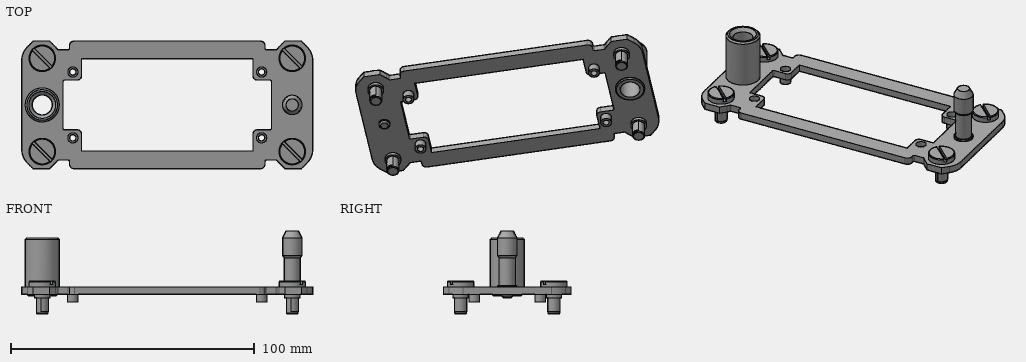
import cadquery as cq
import math

length = 119.5
width = 52.5
plate_thickness = 3.0
corner_chamfer = 4.8
ear_flat_end = 48.3
notch_depth = 3.6
tab_end = 40.2
tab_radius = 2.0
root_radius = 0.5

window_half_length = 42.7
window_half_width = 18.9
lug_end = 35.1
lug_inner_edge = 10.2
lug_radius = 1.8

bushing_x = 38.7
bushing_y = 13.5
bushing_diameter = 4.4
bushing_depth = 3.2
bushing_bore = 4.2
bushing_bore_depth = 2.4
bushing_hole = 2.5

fitting_x = 51.3
screw_y = 19.1
head_diameter = 10.9
head_height = 2.5
head_chamfer = 0.4
slot_width = 1.2
slot_depth = 1.4
collar_diameter = 6.5
collar_length = 1.4
shank_diameter = 4.9
screw_depth = 8.1
shank_chamfer = 0.4
patch_thickness = 0.1
patch_bottom = 7.0
patch_angle = 200

sleeve_diameter = 14.0
sleeve_top = 23.2
sleeve_chamfer = 0.7
sleeve_bore = 8.1
sleeve_countersink = 11.0
sleeve_tail_diameter = 12.1
sleeve_tail_length = 0.7
sleeve_tail_chamfer = 0.5

pin_top = 26.0
pin_diameter = 8.0
pin_tip_diameter = 5.0
pin_tip_base = 23.2
pin_head_bottom = 15.9
pin_neck_top = 14.9
pin_neck_diameter = 6.6
pin_foot_height = 0.7
pin_foot_chamfer = 0.4
pin_tail_diameter = 4.5
pin_tail_length = 1.4
pin_tail_chamfer = 0.7

half_length = length / 2
half_width = width / 2


def all_quadrants(x, y):
    return [(sx * x, sy * y) for sx in (-1, 1) for sy in (-1, 1)]


def turned(profile, x, y):
    """Revolve a closed (radius, z) profile about a vertical axis through (x, y)."""
    return cq.Workplane("XZ").polyline(profile).close().revolve(360, (0, 0), (0, 1)).translate((x, y, 0))


def round_upright_edge(solid, x, y, radius):
    """Fillet the vertical edge nearest to (x, y) in a solid as thick as the plate."""
    nearest = cq.NearestToPointSelector((x, y, plate_thickness / 2))
    return solid.edges("|Z").edges(nearest).fillet(radius)


def make_plate():
    plate = cq.Workplane("XY").rect(length, width).extrude(plate_thickness)

    ear_flat_start = half_length - corner_chamfer
    ear_x = (ear_flat_start + ear_flat_end) / 2
    flat_half = (ear_flat_start - ear_flat_end) / 2
    ear_radius = half_length - ear_x
    ear_y = half_width + flat_half - ear_radius * math.sqrt(2)
    diagonal = ear_radius * math.sqrt(0.5)
    floor_y = half_width - notch_depth
    foot_x = ear_x - math.sqrt(ear_radius**2 - (floor_y - ear_y) ** 2)

    corner = (
        cq.Workplane("XY")
        .moveTo(half_length, ear_y)
        .radiusArc((ear_x + diagonal, ear_y + diagonal), -ear_radius)
        .lineTo(ear_flat_start, half_width)
        .lineTo(half_length, half_width)
        .close()
        .extrude(plate_thickness)
    )
    notch = (
        cq.Workplane("XY")
        .moveTo(ear_flat_end, half_width)
        .lineTo(ear_x - diagonal, ear_y + diagonal)
        .radiusArc((foot_x, floor_y), -ear_radius)
        .lineTo(tab_end, floor_y)
        .lineTo(tab_end, half_width - tab_radius)
        .radiusArc((tab_end - tab_radius, half_width), -tab_radius)
        .close()
        .extrude(plate_thickness)
    )
    for x in (foot_x, tab_end):
        notch = round_upright_edge(notch, x, floor_y, root_radius)
    cuts = corner.union(notch)
    cuts = cuts.union(cuts.mirror("YZ"))
    cuts = cuts.union(cuts.mirror("XZ"))

    wide = cq.Workplane("XY").rect(2 * window_half_length, 2 * lug_inner_edge).extrude(plate_thickness)
    tall = cq.Workplane("XY").rect(2 * lug_end, 2 * window_half_width).extrude(plate_thickness)
    window = wide.union(tall)
    for x, y in all_quadrants(lug_end, lug_inner_edge):
        window = round_upright_edge(window, x, y, lug_radius)
    for x, y in all_quadrants(window_half_length, lug_inner_edge):
        window = round_upright_edge(window, x, y, root_radius)
    return plate.cut(cuts).cut(window)


def add_bushings(body):
    places = all_quadrants(bushing_x, bushing_y)
    studs = cq.Workplane("XY").pushPoints(places).circle(bushing_diameter / 2).extrude(-bushing_depth)
    bores = (
        cq.Workplane("XY", origin=(0, 0, plate_thickness))
        .pushPoints(places)
        .circle(bushing_bore / 2)
        .extrude(-bushing_bore_depth)
    )
    holes = (
        cq.Workplane("XY", origin=(0, 0, -bushing_depth))
        .pushPoints(places)
        .circle(bushing_hole / 2)
        .extrude(bushing_depth + plate_thickness)
    )
    return body.union(studs).cut(bores).cut(holes)


def make_screw(x, y):
    head_top = plate_thickness + head_height
    head_radius = head_diameter / 2
    collar_radius = collar_diameter / 2
    shank_radius = shank_diameter / 2
    screw = turned(
        [
            (0, head_top),
            (head_radius - head_chamfer, head_top),
            (head_radius, head_top - head_chamfer),
            (head_radius, plate_thickness),
            (collar_radius, plate_thickness),
            (collar_radius, -collar_length),
            (shank_radius, -collar_length),
            (shank_radius, -screw_depth + shank_chamfer),
            (shank_radius - shank_chamfer, -screw_depth),
            (0, -screw_depth),
        ],
        x,
        y,
    )
    slot = (
        cq.Workplane("XY", origin=(x, y, head_top - slot_depth))
        .transformed(rotate=(0, 0, -45))
        .rect(2 * head_diameter, slot_width)
        .extrude(slot_depth)
    )
    patch = (
        cq.Workplane("XZ")
        .moveTo(0, -patch_bottom)
        .lineTo(shank_radius + patch_thickness, -patch_bottom)
        .lineTo(shank_radius + patch_thickness, -collar_length)
        .lineTo(0, -collar_length)
        .close()
        .revolve(patch_angle, (0, 0), (0, 1))
        .rotate((0, 0, 0), (0, 0, 1), -patch_angle / 2)
        .translate((x, y, 0))
    )
    return screw.cut(slot).union(patch)


def add_sleeve(body):
    outer = sleeve_diameter / 2
    tail = sleeve_tail_diameter / 2
    bore = sleeve_bore / 2
    countersink = sleeve_countersink / 2
    sleeve = turned(
        [
            (0, sleeve_top),
            (outer - sleeve_chamfer, sleeve_top),
            (outer, sleeve_top - sleeve_chamfer),
            (outer, plate_thickness),
            (tail, plate_thickness),
            (tail, -sleeve_tail_length + sleeve_tail_chamfer),
            (tail - sleeve_tail_chamfer, -sleeve_tail_length),
            (0, -sleeve_tail_length),
        ],
        -fitting_x,
        0,
    )
    opening = turned(
        [
            (0, sleeve_top),
            (countersink, sleeve_top),
            (bore, sleeve_top - (countersink - bore)),
            (bore, -sleeve_tail_length),
            (0, -sleeve_tail_length),
        ],
        -fitting_x,
        0,
    )
    return body.union(sleeve).cut(opening)


def make_pin():
    head = pin_diameter / 2
    neck = pin_neck_diameter / 2
    tail = pin_tail_diameter / 2
    foot_top = plate_thickness + pin_foot_height
    return turned(
        [
            (0, pin_top),
            (pin_tip_diameter / 2, pin_top),
            (head, pin_tip_base),
            (head, pin_head_bottom),
            (neck, pin_neck_top),
            (neck, foot_top),
            (head - pin_foot_chamfer, foot_top),
            (head, foot_top - pin_foot_chamfer),
            (head, plate_thickness),
            (tail, plate_thickness),
            (tail, -pin_tail_length + pin_tail_chamfer),
            (tail - pin_tail_chamfer, -pin_tail_length),
            (0, -pin_tail_length),
        ],
        fitting_x,
        0,
    )


result = add_bushings(make_plate())
for screw_place in all_quadrants(fitting_x, screw_y):
    result = result.union(make_screw(*screw_place))
result = add_sleeve(result).union(make_pin())